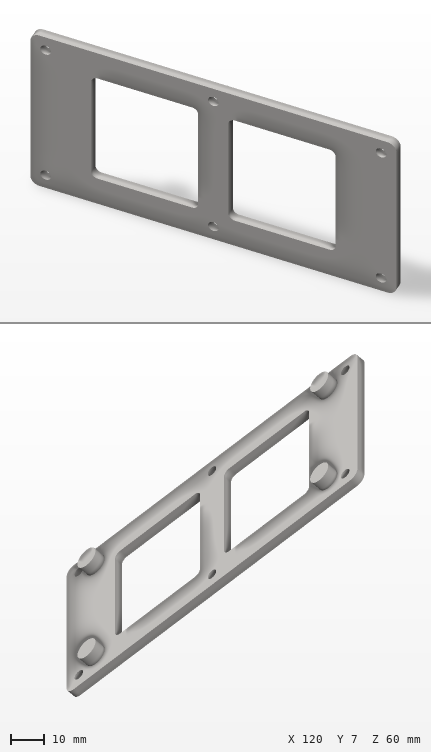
import cadquery as cq

plate_length = 120.0
plate_height = 60.0
plate_thickness = 3.0
corner_radius = 3.0

window_width = 35.0
window_height = 40.0
window_radius = 2.0
window_gap = 10.0

hole_diameter = 3.5
hole_edge_distance = 5.0

boss_diameter = 7.5
boss_height = 4.0
boss_offset_x = 48.0
boss_offset_z = 22.0

hole_offset_x = plate_length / 2 - hole_edge_distance
hole_offset_z = plate_height / 2 - hole_edge_distance
window_offset_x = (window_gap + window_width) / 2


def rounded_block(length, height, depth, radius):
    """Block with its front face on Y = 0 and rounded edges along Y."""
    block = cq.Workplane("XY").box(length, depth, height).translate((0, depth / 2, 0))
    return block.edges("|Y").fillet(radius)


def cylinder_along_y(diameter, depth, x, z, start_y=0):
    """Cylinder running toward +Y from start_y."""
    base = cq.Workplane("XZ", origin=(x, start_y, z))
    return base.circle(diameter / 2).extrude(-depth)


result = rounded_block(plate_length, plate_height, plate_thickness, corner_radius)

for x in (-boss_offset_x, boss_offset_x):
    for z in (-boss_offset_z, boss_offset_z):
        boss = cylinder_along_y(
            boss_diameter, plate_thickness / 2 + boss_height, x, z, start_y=plate_thickness / 2
        )
        result = result.union(boss)

window = rounded_block(window_width, window_height, plate_thickness, window_radius)
for x in (-window_offset_x, window_offset_x):
    result = result.cut(window.translate((x, 0, 0)))

for x in (-hole_offset_x, 0, hole_offset_x):
    for z in (-hole_offset_z, hole_offset_z):
        result = result.cut(cylinder_along_y(hole_diameter, plate_thickness, x, z))